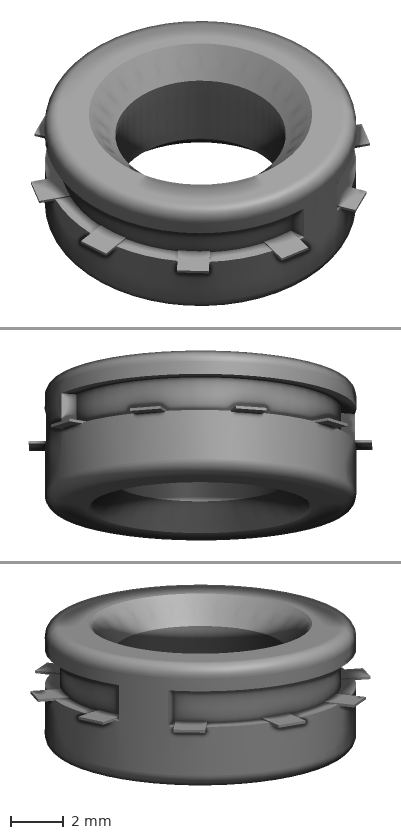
import cadquery as cq

outer_diameter = 11.8
bore_diameter = 6.46
height = 4.84
edge_fillet = 0.51
bore_chamfer = 1.0

groove_diameter = 10.65
groove_floor_z = height / 2
groove_top_z = height - 1.01
bridge_width = 2.0

tab_count = 10
tab_tip_radius = 6.5
tab_root_radius = 4.94
tab_width = 1.21
tab_thickness = 0.1


def make_ring():
    blank = cq.Workplane("XY").circle(outer_diameter / 2).extrude(height)
    blank = blank.faces("<Z or >Z").edges().fillet(edge_fillet)
    ring = blank.faces(">Z").workplane().hole(bore_diameter)
    bore_rims = cq.selectors.RadiusNthSelector(0)
    return ring.faces("<Z or >Z").edges(bore_rims).chamfer(bore_chamfer)


def make_groove():
    """Annular cut with the two bridges left standing."""
    depth = groove_top_z - groove_floor_z
    annulus = (
        cq.Workplane("XY", origin=(0, 0, groove_floor_z))
        .circle(outer_diameter)
        .circle(groove_diameter / 2)
        .extrude(depth)
    )
    bridges = (
        cq.Workplane("XY", origin=(0, 0, groove_floor_z))
        .rect(2 * outer_diameter, bridge_width)
        .extrude(depth)
    )
    return annulus.cut(bridges)


def make_tab(angle):
    """One tab, centred in thickness on the groove floor."""
    length = tab_tip_radius - tab_root_radius
    return (
        cq.Workplane("XY")
        .box(length, tab_width, tab_thickness)
        .translate((tab_root_radius + length / 2, 0, groove_floor_z))
        .rotate((0, 0, 0), (0, 0, 1), angle)
    )


result = make_ring().cut(make_groove())
for index in range(tab_count):
    result = result.union(make_tab(90 + index * 360 / tab_count))